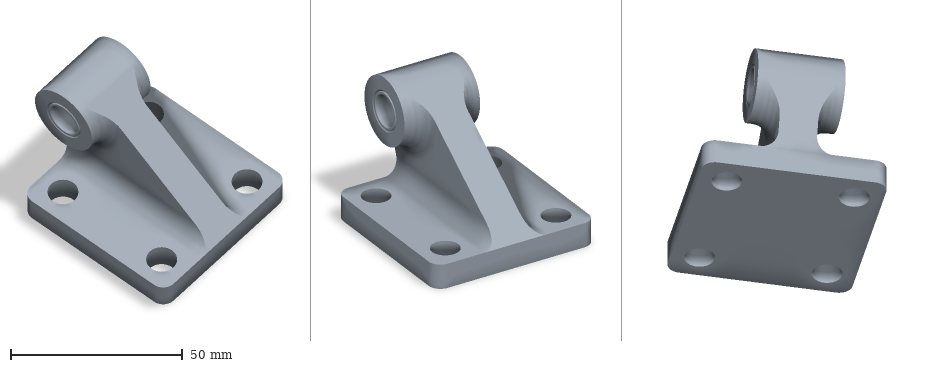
import cadquery as cq
import math

base_side = 55.0
base_height = 8.0
base_corner_radius = 4.0
bolt_hole_diameter = 9.0
bolt_hole_spacing = 38.0

boss_diameter = 22.0
boss_radius = boss_diameter / 2
boss_length = 26.0
boss_x = 3.5
boss_z = 32.0

bore_diameter = 10.0
bush_diameter = 12.0
mouth_chamfer = 0.5
bush_chamfer = 0.2

web_thickness = 11.5
web_half = web_thickness / 2
fillet_radius = 5.0
flare_half = web_half + fillet_radius
diagonal_sine = math.sqrt(0.5)


def tangent_point(x, z, side):
    """Point where a line from (x, z) touches the boss circle; side is +1 or -1."""
    dx = x - boss_x
    dz = z - boss_z
    angle = math.atan2(dz, dx) + side * math.acos(boss_radius / math.hypot(dx, dz))
    return (boss_x + boss_radius * math.cos(angle), boss_z + boss_radius * math.sin(angle))


def make_boss():
    return (
        cq.Workplane("XZ", origin=(boss_x, 0, boss_z))
        .circle(boss_radius)
        .extrude(boss_length / 2, both=True)
    )


def make_base():
    return (
        cq.Workplane("XY")
        .center(base_side / 2, 0)
        .rect(base_side, base_side)
        .extrude(base_height)
        .edges("|Z")
        .fillet(base_corner_radius)
        .faces(">Z")
        .workplane()
        .rect(bolt_hole_spacing, bolt_hole_spacing, forConstruction=True)
        .vertices()
        .hole(bolt_hole_diameter)
    )


def make_web():
    """Web whose faces flare out concavely to the plate and to the boss."""
    top = boss_z + boss_radius
    arc_inset = fillet_radius * (1 - diagonal_sine)

    fillet_top = base_height + fillet_radius
    plate_arc_z = base_height + arc_inset
    plate_arc_y = web_half + arc_inset
    flared_web = (
        cq.Workplane("YZ")
        .moveTo(-flare_half, base_height)
        .threePointArc((-plate_arc_y, plate_arc_z), (-web_half, fillet_top))
        .lineTo(-web_half, top)
        .lineTo(web_half, top)
        .lineTo(web_half, fillet_top)
        .threePointArc((plate_arc_y, plate_arc_z), (flare_half, base_height))
        .close()
        .extrude(base_side + boss_radius, both=True)
    )

    flare_radius = boss_radius + fillet_radius
    boss_arc = (boss_radius + arc_inset, web_half + arc_inset)
    boss_flare = (
        cq.Workplane("XY", origin=(boss_x, 0, boss_z))
        .moveTo(0, -flare_half)
        .lineTo(boss_radius, -flare_half)
        .threePointArc((boss_arc[0], -boss_arc[1]), (flare_radius, -web_half))
        .lineTo(flare_radius, web_half)
        .threePointArc(boss_arc, (boss_radius, flare_half))
        .lineTo(0, flare_half)
        .close()
        .revolve(360, (0, 0), (0, 1))
    )

    outline = (
        cq.Workplane("XZ")
        .moveTo(0, base_height)
        .lineTo(base_side, base_height)
        .lineTo(*tangent_point(base_side, base_height, 1))
        .lineTo(boss_x, boss_z)
        .lineTo(*tangent_point(0, base_height, -1))
        .close()
        .extrude(flare_half, both=True)
    )
    return flared_web.union(boss_flare).intersect(outline)


def make_half_bore():
    """Bore on the +Y half; a bush, flush with the boss, stands inside the mouth chamfer."""
    y_mouth = boss_length / 2
    bore_radius = bore_diameter / 2
    bush_radius = bush_diameter / 2
    return (
        cq.Workplane("XY", origin=(boss_x, 0, boss_z))
        .moveTo(0, 0)
        .lineTo(bore_radius, 0)
        .lineTo(bore_radius, y_mouth - bush_chamfer)
        .lineTo(bore_radius + bush_chamfer, y_mouth)
        .lineTo(bush_radius - bush_chamfer, y_mouth)
        .lineTo(bush_radius, y_mouth - bush_chamfer)
        .lineTo(bush_radius, y_mouth - mouth_chamfer)
        .lineTo(bush_radius + mouth_chamfer, y_mouth)
        .lineTo(0, y_mouth)
        .close()
        .revolve(360, (0, 0), (0, 1))
    )


half_bore = make_half_bore()
result = (
    make_base()
    .union(make_web())
    .union(make_boss())
    .cut(half_bore)
    .cut(half_bore.mirror("XZ"))
)